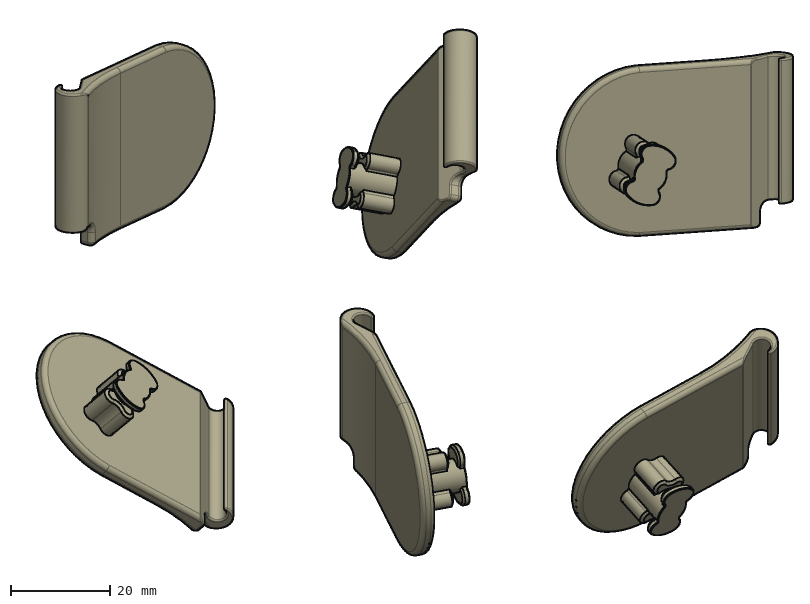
import cadquery as cq
import math

length = 49.95
width = 35.0
thickness = 3.05
round_end_y = 16.8
hook_radius = 3.5
hook_x = 2.3
hook_y = hook_radius + round_end_y - length
sweep_radius = 37.95
sweep_start_y = -15.0

throat_radius = 1.85
throat_x = 1.4
throat_y = -29.2
ramp_angle = math.radians(33)
tip_radius = 0.4

notch_y = -26.2
notch_height = 5.0
notch_root_radius = 1.8
notch_corner_radius = 1.0

plate_edge_radius = 1.0
hook_edge_radius = 0.375

gap = 0.05

stud_y = 1.0
stud_z = -2.55
stud_tilt = 25.0
neck_radius = 3.5
head_radius = 6.25
lobe_radius = 1.75
lobe_angle = math.radians(29)
waist_fillet_radius = 0.6
waist_overlap = 0.05
dimple_radius = 2.2
head_front_x = -10.4
head_back_x = -8.95
collar_front_x = -7.1
head_front_chamfer = 0.15
head_back_chamfer = 0.45
collar_chamfer_depth = 0.7
collar_chamfer_inset = 0.45


def polar(center, radius, angle):
    return (center[0] + radius * math.cos(angle), center[1] + radius * math.sin(angle))


def angle_to(start, end):
    return math.atan2(end[1] - start[1], end[0] - start[0])


def bend_at(side_a, side_b, opposite):
    """Angle between two sides of a triangle, from its three lengths."""
    return math.acos((side_a**2 + side_b**2 - opposite**2) / (2 * side_a * side_b))


def span(value):
    """Low and high end of a range, or of a single place widened by the gap."""
    low, high = value if isinstance(value, tuple) else (value, value)
    return (low - gap, high + gap)


def edges_within(x, y, z):
    """Select the edges whose centres lie in the given X, Y and Z places or ranges."""
    lows, highs = zip(span(x), span(y), span(z))
    return cq.selectors.BoxSelector(lows, highs)


def side_profile():
    """Section of plate and hook, extruded over the full width."""
    hook = (hook_x, hook_y)
    throat = (throat_x, throat_y)

    sweep = (thickness + sweep_radius, sweep_start_y)
    hook_to_sweep = math.dist(hook, sweep)
    hook_start_angle = angle_to(hook, sweep) - bend_at(hook_radius, hook_to_sweep, sweep_radius)
    hook_start = polar(hook, hook_radius, hook_start_angle)
    sweep_mid_angle = math.pi + (sweep_start_y - hook_start[1]) / sweep_radius / 2

    ramp_end = polar(throat, throat_radius, ramp_angle)
    ramp_start_y = ramp_end[1] + ramp_end[0] / math.tan(ramp_angle)

    centers = math.dist(hook, throat)
    to_tip = hook_radius - tip_radius
    throat_to_tip = throat_radius + tip_radius
    tip_angle = angle_to(hook, throat) + bend_at(to_tip, centers, throat_to_tip)
    tip = polar(hook, to_tip, tip_angle)
    tip_to_throat = angle_to(tip, throat)
    return (
        cq.Workplane("XY")
        .moveTo(0, round_end_y)
        .lineTo(thickness, round_end_y)
        .lineTo(thickness, sweep_start_y)
        .threePointArc(
            polar(sweep, sweep_radius, sweep_mid_angle),
            hook_start,
        )
        .threePointArc((hook_x, hook_y - hook_radius), polar(hook, hook_radius, tip_angle))
        .threePointArc(
            polar(tip, tip_radius, (tip_angle + tip_to_throat) / 2),
            polar(tip, tip_radius, tip_to_throat),
        )
        .threePointArc((throat_x, throat_y - throat_radius), ramp_end)
        .lineTo(0, ramp_start_y)
        .close()
        .extrude(width / 2, both=True)
    )


def face_outline():
    """Outline of the plate seen square on, thick enough to cover the whole section."""
    half = width / 2
    hook_end_y = hook_y - hook_radius
    reach = 10.0
    return (
        cq.Workplane("YZ")
        .moveTo(hook_end_y, half)
        .lineTo(0, half)
        .threePointArc((round_end_y, 0), (0, -half))
        .lineTo(notch_y, -half)
        .lineTo(notch_y, notch_height - half)
        .lineTo(hook_end_y, notch_height - half)
        .close()
        .extrude(reach, both=True)
    )


def rounded_plate():
    """Plate with its hook, the notch below the hook, and all edges rounded."""
    half = width / 2
    body = side_profile().intersect(face_outline())
    section = (0, hook_x + hook_radius)
    body = body.edges(edges_within(section, notch_y, notch_height - half)).fillet(notch_root_radius)
    body = body.edges(edges_within(section, notch_y, -half)).fillet(notch_corner_radius)

    plate_span = (sweep_start_y + 2 * gap, round_end_y)
    full_height = (-half, half)
    body = body.edges(edges_within(0, plate_span, full_height)).fillet(plate_edge_radius)
    body = body.edges(edges_within(thickness, plate_span, full_height)).fillet(plate_edge_radius)

    throat_x_span = (throat_x - throat_radius, throat_x + throat_radius)
    throat_y_span = (throat_y - throat_radius, throat_y)
    upper_rim = edges_within(throat_x_span, throat_y_span, half)
    lower_rim = edges_within(throat_x_span, throat_y_span, notch_height - half)
    return body.edges(upper_rim + lower_rim).fillet(hook_edge_radius)


def stud_plane(x):
    """Plane facing -X on the stud axis, with its x axis along the wings."""
    tilt = math.radians(stud_tilt)
    return cq.Plane(
        origin=(x, stud_y, stud_z),
        xDir=(0, -math.sin(tilt), math.cos(tilt)),
        normal=(-1, 0, 0),
    )


def wings(x, dimpled):
    """Two-winged outline on the stud plane at x; the wing ends bulge out or are dimpled."""
    axis = (0, 0)
    to_lobe = head_radius - lobe_radius
    waist_end = neck_radius - waist_overlap
    to_waist = waist_end + waist_fillet_radius
    lobe_to_waist = lobe_radius + waist_fillet_radius
    waist_angle = lobe_angle + bend_at(to_lobe, to_waist, lobe_to_waist)

    lobe = polar(axis, to_lobe, lobe_angle)
    waist = polar(axis, to_waist, waist_angle)
    waist_to_lobe = angle_to(waist, lobe)
    lobe_start_angle = waist_to_lobe + math.pi
    waist_mid_angle = (waist_angle - math.pi + waist_to_lobe) / 2
    if dimpled:
        dimple_offset = math.sqrt((lobe_radius + dimple_radius) ** 2 - lobe[1] ** 2)
        lobe_end_angle = math.atan2(-lobe[1], dimple_offset)
        wing_end = lobe[0] + dimple_offset - dimple_radius
    else:
        lobe_end_angle = lobe_angle
        wing_end = head_radius

    neck_point = polar(axis, waist_end, waist_angle)
    waist_mid = polar(waist, waist_fillet_radius, waist_mid_angle)
    lobe_start = polar(waist, waist_fillet_radius, waist_to_lobe)
    lobe_mid = polar(lobe, lobe_radius, (lobe_start_angle + lobe_end_angle) / 2)
    lobe_end = polar(lobe, lobe_radius, lobe_end_angle)

    def mirrored(point):
        return (point[0], -point[1])

    def opposite(point):
        return (-point[0], -point[1])

    outline = cq.Workplane(stud_plane(x)).moveTo(*neck_point)
    for side in (lambda point: point, opposite):
        outline = (
            outline.threePointArc(side(waist_mid), side(lobe_start))
            .threePointArc(side(lobe_mid), side(lobe_end))
            .threePointArc(side((wing_end, 0)), side(mirrored(lobe_end)))
            .threePointArc(side(mirrored(lobe_mid)), side(mirrored(lobe_start)))
            .threePointArc(side(mirrored(waist_mid)), side(mirrored(neck_point)))
            .lineTo(*side(opposite(neck_point)))
        )
    return outline.close()


def stud():
    """Dimpled collar on the plate, round neck, and head with bulging wing ends."""
    root_x = thickness / 2
    collar = (
        wings(root_x, dimpled=True)
        .extrude(root_x - collar_front_x)
        .faces("<X")
        .chamfer(collar_chamfer_inset, collar_chamfer_depth)
    )
    head = (
        wings(head_back_x, dimpled=False)
        .extrude(head_back_x - head_front_x)
        .faces(">X")
        .chamfer(head_back_chamfer)
        .faces("<X")
        .chamfer(head_front_chamfer)
    )
    neck = (
        cq.Workplane(stud_plane(root_x))
        .circle(neck_radius)
        .extrude(root_x - head_front_x)
        .faces("<X")
        .chamfer(head_front_chamfer)
    )
    return neck.union(collar).union(head)


result = rounded_plate().union(stud()).solids()